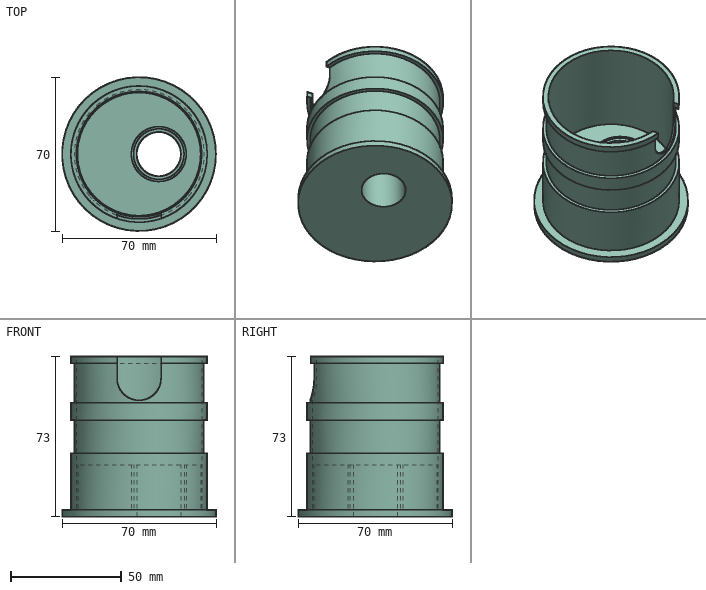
import cadquery as cq

height = 73.0
flange_diameter = 70.0
flange_height = 3.2
band_diameter = 62.0
neck_diameter = 59.0
sleeve_top = 29.0
middle_band_bottom = 44.0
middle_band_top = 52.0
rim_height = 3.2

bore_diameter = 57.0
floor_thickness = flange_height

passage_offset = 9.0
passage_diameter = 20.0
boss_diameter = 23.0
insert_height = 20.6

slot_width = passage_diameter
slot_depth = 20.0

insert_diameter = 56.0
insert_hole_diameter = 25.0


def cylinder(diameter, bottom, top, x=0.0):
    """Upright cylinder between two heights, centred at the given X."""
    return (
        cq.Workplane("XY", origin=(x, 0, bottom))
        .circle(diameter / 2)
        .extrude(top - bottom)
    )


def make_slot():
    """U-shaped cutter reaching from the axis out through the front wall."""
    slot_radius = slot_width / 2
    slot_bottom = height - slot_depth
    arc_centre = slot_bottom + slot_radius
    return (
        cq.Workplane("XZ")
        .moveTo(-slot_radius, height)
        .lineTo(-slot_radius, arc_centre)
        .threePointArc((0, slot_bottom), (slot_radius, arc_centre))
        .lineTo(slot_radius, height)
        .close()
        .extrude(flange_diameter / 2)
    )


def make_housing():
    """Banded cup with a slotted wall and an eccentric hollow boss on its floor."""
    body = cylinder(neck_diameter, 0, height)
    body = body.union(cylinder(flange_diameter, 0, flange_height))
    bands = [
        (0, sleeve_top),
        (middle_band_bottom, middle_band_top),
        (height - rim_height, height),
    ]
    for bottom, top in bands:
        body = body.union(cylinder(band_diameter, bottom, top))

    body = body.cut(cylinder(bore_diameter, floor_thickness, height))
    body = body.cut(make_slot())

    boss_top = floor_thickness + insert_height
    body = body.union(cylinder(boss_diameter, 0, boss_top, passage_offset))
    return body.cut(cylinder(passage_diameter, 0, boss_top, passage_offset))


def make_insert():
    """Thick ring with clearance to the bore and around the boss."""
    bottom = floor_thickness
    top = bottom + insert_height
    insert = cylinder(insert_diameter, bottom, top)
    return insert.cut(cylinder(insert_hole_diameter, bottom, top, passage_offset))


housing = make_housing()
insert = make_insert()
result = cq.Compound.makeCompound([housing.val(), insert.val()])